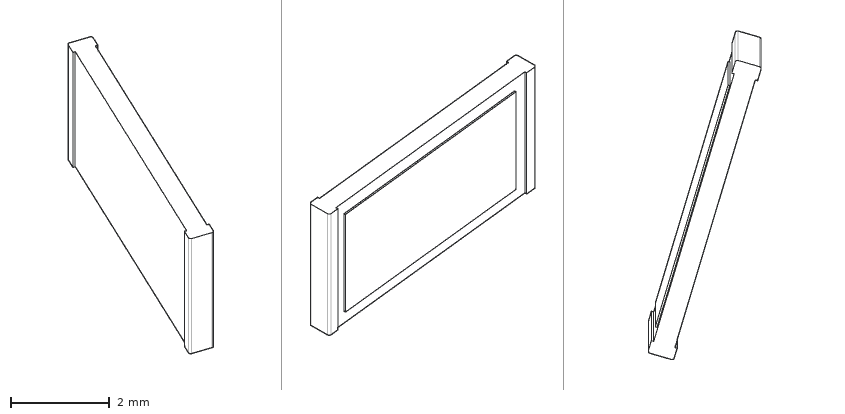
import cadquery as cq

length = 6.3
thickness = 0.55
height = 3.2

left_terminal_width = 0.29
right_terminal_width = 0.26
terminal_step = 0.05
corner_radius = 0.05

coating_length = 5.2
coating_offset = 0.05
coating_thickness = 0.04

body_thickness = thickness - 2 * terminal_step
body_back = body_thickness / 2

coating_start = coating_offset - coating_length / 2
coating_margin = coating_start - (left_terminal_width - length / 2)
coating_height = height - 2 * coating_margin


def make_body():
    """Plain slab between the two terminals."""
    slab_length = length - left_terminal_width - right_terminal_width
    slab_centre = (left_terminal_width - right_terminal_width) / 2
    slab = cq.Workplane("XY").box(slab_length, body_thickness, height)
    return slab.translate((slab_centre, 0, 0))


def make_terminal(side, width):
    """Thicker end block with rounded outer edges; side is -1 or +1 along X."""
    outer_face = "<X" if side < 0 else ">X"
    block = cq.Workplane("XY").box(width, thickness, height)
    block = block.faces(outer_face).edges("|Z").fillet(corner_radius)
    return block.translate((side * (length - width) / 2, 0, 0))


def make_coating():
    """Thin protective layer on the +Y face of the body."""
    layer = cq.Workplane("XY").box(coating_length, coating_thickness, coating_height)
    return layer.translate((coating_offset, body_back + coating_thickness / 2, 0))


result = make_body().union(make_coating())
for side, width in ((-1, left_terminal_width), (1, right_terminal_width)):
    result = result.union(make_terminal(side, width))